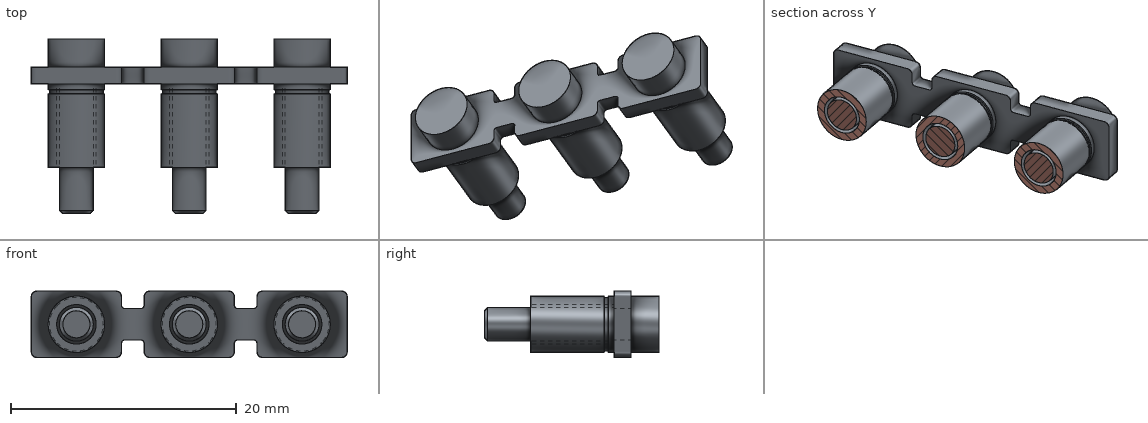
import cadquery as cq


contact_count = 3
contact_pitch = 10.0
contact_positions = [(i - (contact_count - 1) / 2) * contact_pitch for i in range(contact_count)]

pad_length = 8.0
plate_height = 5.9
plate_thickness = 1.5
neck_height = 2.8
pad_corner_radius = 0.5
neck_corner_radius = 0.3
plate_length = (contact_count - 1) * contact_pitch + pad_length

barrel_diameter = 5.0
barrel_length = 7.4
groove_offset = 0.5
groove_width = 0.4
groove_depth = 0.12
groove_flank_width = 0.05
bore_diameter = 3.5

pin_diameter = 3.0
pin_projection = 4.1
tip_chamfer = 0.3

tail_diameter = barrel_diameter
tail_length = 2.5


def cylinder(diameter, y_front, length):
    """Cylinder on the Y axis, from y_front toward +Y."""
    plane = cq.Workplane("XZ", origin=(0, y_front, 0))
    return plane.circle(diameter / 2).extrude(-length)


def plate_slab(length, height):
    return cq.Workplane("XY").box(length, plate_thickness, height, centered=(True, False, True))


def make_plate():
    body = plate_slab(plate_length - pad_length, neck_height)
    for x in contact_positions:
        body = body.union(plate_slab(pad_length, plate_height).translate((x, 0, 0)))
    body = body.edges("|Y").edges("<Z or >Z").fillet(pad_corner_radius)
    for z in (-neck_height / 2, neck_height / 2):
        notch_corners = cq.selectors.BoxSelector(
            (-plate_length, 0, z - neck_corner_radius),
            (plate_length, plate_thickness, z + neck_corner_radius),
        )
        body = body.edges(notch_corners).edges("|Y").fillet(neck_corner_radius)
    return body


def make_groove_ring():
    """Ring that cuts the barrel groove: flat floor, with steeply sloping flanks."""
    outer_radius = barrel_diameter / 2
    floor_radius = outer_radius - groove_depth
    rear = -groove_offset
    front = rear - groove_width
    profile = cq.Workplane("XY").polyline([
        (outer_radius, rear),
        (floor_radius, rear - groove_flank_width),
        (floor_radius, front + groove_flank_width),
        (outer_radius, front),
    ]).close()
    return profile.revolve(360, (0, 0, 0), (0, 1, 0))


def make_barrel():
    body = cylinder(barrel_diameter, -barrel_length, barrel_length)
    body = body.cut(make_groove_ring())
    return body.cut(cylinder(bore_diameter, -barrel_length, barrel_length))


def make_pin():
    pin_length = barrel_length + pin_projection
    return cylinder(pin_diameter, -pin_length, pin_length).faces("<Y").chamfer(tip_chamfer)


def make_tail():
    return cylinder(tail_diameter, plate_thickness, tail_length)


plate = make_plate()
bodies = [plate.val()]
for x in contact_positions:
    for contact_part in (make_barrel(), make_pin(), make_tail()):
        bodies.append(contact_part.translate((x, 0, 0)).val())

result = cq.Compound.makeCompound(bodies)